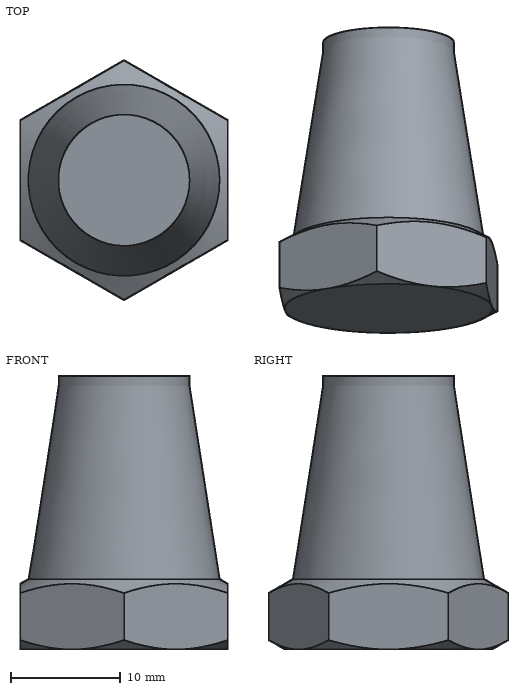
import cadquery as cq
import math

total_height = 25.0
across_flats = 19.0
flat_height = 6.0
chamfer_angle = 30.0
cone_base_diameter = 17.5
tip_diameter = 12.0
tip_height = 0.9
side_count = 6
corner_direction = 90.0

flat_radius = across_flats / 2
corner_radius = flat_radius / math.cos(math.pi / side_count)
cone_base_radius = cone_base_diameter / 2
tip_radius = tip_diameter / 2
chamfer_slope = math.tan(math.radians(chamfer_angle))
corner_drop = (corner_radius - flat_radius) * chamfer_slope
cone_base_z = flat_height + (flat_radius - cone_base_radius) * chamfer_slope
cone_top_z = total_height - tip_height


def turned_body(profile):
    """Revolve a closed (radius, z) profile about the Z axis."""
    return cq.Workplane("XZ").polyline(profile).close().revolve(360, (0, 0), (0, 1))


def hex_prism():
    """Hexagonal bar with two flats facing X and two corners on the Y axis."""
    bar = cq.Workplane("XY").polygon(side_count, 2 * corner_radius).extrude(cone_base_z)
    return bar.rotate((0, 0, 0), (0, 0, 1), corner_direction)


def chamfer_envelope():
    """Turned body whose conical ends chamfer the hexagon corners."""
    return turned_body([
        (0, 0),
        (flat_radius, 0),
        (corner_radius, corner_drop),
        (corner_radius, flat_height - corner_drop),
        (cone_base_radius, cone_base_z),
        (0, cone_base_z),
    ])


def tapered_plug():
    """Conical plug standing on the hexagon and ending in a short straight tip."""
    return turned_body([
        (0, cone_base_z),
        (cone_base_radius, cone_base_z),
        (tip_radius, cone_top_z),
        (tip_radius, total_height),
        (0, total_height),
    ])


hex_head = hex_prism().intersect(chamfer_envelope())
result = hex_head.union(tapered_plug())